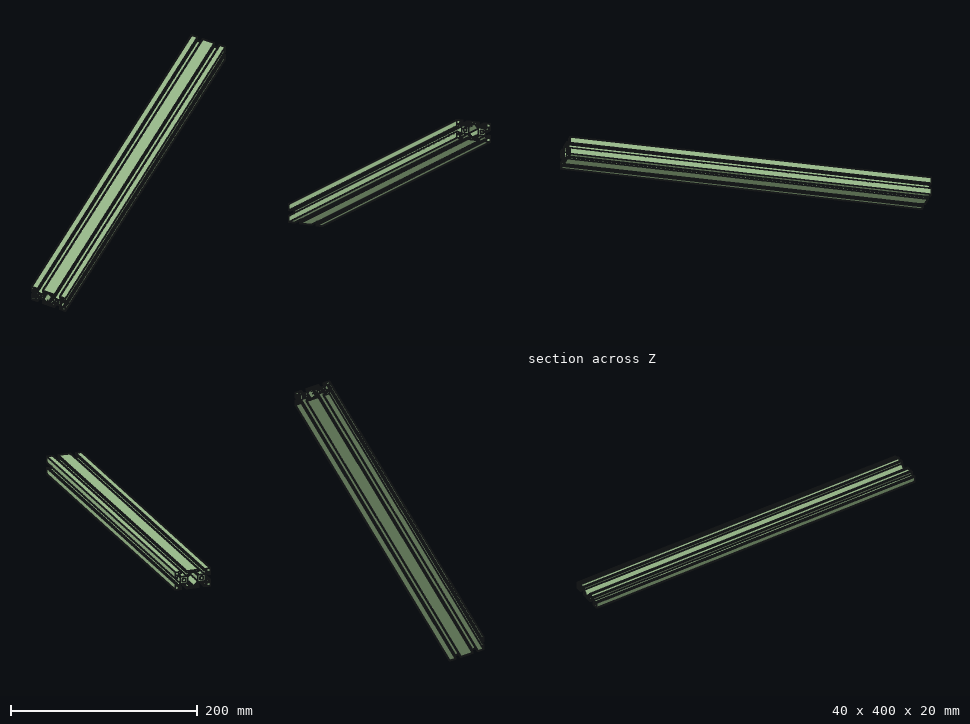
import cadquery as cq
import math

length = 400.0
cell = 20.0
width = 2 * cell
wall = 2.0
slot_opening = 6.0
core_side = 8.5
core_bore = 4.0
corner_side = 4.0
web = 1.4

cell_centers = (-cell / 2, cell / 2)
inner_height = cell - 2 * wall
web_length = math.sqrt(2) * (cell - wall)


def bar(x_size, z_size, x=0, z=0, angle=0):
    """Full-length rectangular bar, turned about its own axis and placed in the section."""
    return (
        cq.Workplane("XY")
        .box(x_size, length, z_size)
        .rotate((0, 0, 0), (0, 1, 0), angle)
        .translate((x, 0, z))
    )


def cell_core(x):
    """Square core with its four diagonal webs."""
    core = bar(core_side, core_side, x)
    for angle in (45, -45):
        core = core.union(bar(web_length, web, x, angle=angle))
    return core


def core_hole(x):
    return (
        cq.Workplane("XZ")
        .center(x, 0)
        .circle(core_bore / 2)
        .extrude(length / 2, both=True)
    )


profile = bar(width, cell).cut(bar(width - 2 * wall, inner_height))
profile = profile.cut(bar(width, slot_opening))
for center in cell_centers:
    profile = profile.cut(bar(slot_opening, cell, center))

corner_x = (width - corner_side) / 2
corner_z = (cell - corner_side) / 2
for x in (-corner_x, corner_x):
    for z in (-corner_z, corner_z):
        profile = profile.union(bar(corner_side, corner_side, x, z))

for center in cell_centers:
    profile = profile.union(cell_core(center))
for center in cell_centers:
    profile = profile.cut(core_hole(center))

result = profile